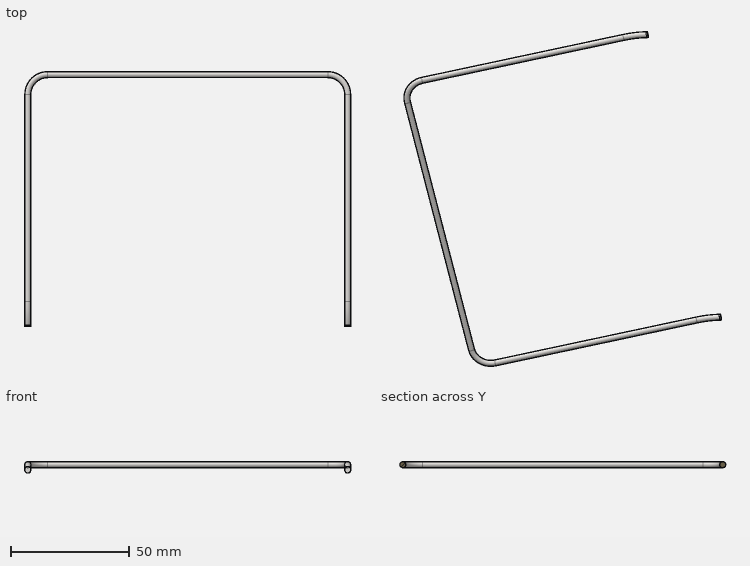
import cadquery as cq
import math

width = 137.8
depth = 107.6
rod_diameter = 2.6
corner_radius = 8.4
tip_radius = 23.8
tip_length = 10.5
end_stub_length = 0.5

rod_radius = rod_diameter / 2
half_span = width / 2 - rod_radius
back_y = depth / 2 - rod_radius
tip_start_y = tip_length - depth / 2

stub_y = end_stub_length - depth / 2
tip_turn = math.asin((tip_length - end_stub_length) / tip_radius)
untrimmed_angle = math.radians(35)


def tip_point(x, turn):
    """Centreline point of a downward tip bend after the given turn."""
    y = tip_start_y - tip_radius * math.sin(turn)
    z = -tip_radius * (1 - math.cos(turn))
    return cq.Vector(x, y, z)


def tip_bend(x):
    """Centreline arc from the free end back to the straight leg."""
    turns = (untrimmed_angle, untrimmed_angle / 2, 0)
    return cq.Edge.makeThreePointArc(*[tip_point(x, turn) for turn in turns])


def leg(x):
    """Solid downward tip and straight leg on one side of the frame."""
    leg_end = cq.Vector(x, back_y - corner_radius, 0)
    straight = cq.Edge.makeLine(tip_point(x, 0), leg_end)
    path = cq.Wire.assembleEdges([tip_bend(x), straight])
    end_direction = cq.Vector(0, math.cos(untrimmed_angle), math.sin(untrimmed_angle))
    end_plane = cq.Plane(origin=tip_point(x, untrimmed_angle), xDir=(1, 0, 0), normal=end_direction)
    return cq.Workplane(end_plane).circle(rod_radius).sweep(cq.Workplane(path))


def back_rail():
    """Back bar with its two rounded corners, all in the XY plane."""
    corner_y = back_y - corner_radius
    straight_half = half_span - corner_radius
    path = (
        cq.Workplane("XY")
        .moveTo(-half_span, corner_y)
        .radiusArc((-straight_half, back_y), corner_radius)
        .lineTo(straight_half, back_y)
        .radiusArc((half_span, corner_y), corner_radius)
    )
    start_plane = cq.Plane(origin=(-half_span, corner_y, 0), xDir=(1, 0, 0), normal=(0, 1, 0))
    return cq.Workplane(start_plane).circle(rod_radius).sweep(path)


def end_stub(x):
    """Short level cylinder closing the free end of a tip."""
    stub_plane = cq.Plane(origin=tip_point(x, tip_turn), xDir=(1, 0, 0), normal=(0, -1, 0))
    return cq.Workplane(stub_plane).circle(rod_radius).extrude(end_stub_length)


frame = back_rail().union(leg(-half_span)).union(leg(half_span))

block_size = 2 * width
trim_block = cq.Workplane("XY").box(block_size, block_size, block_size)
trim_block = trim_block.translate((0, stub_y - block_size / 2, 0))
frame = frame.cut(trim_block)

result = frame.union(end_stub(-half_span)).union(end_stub(half_span))